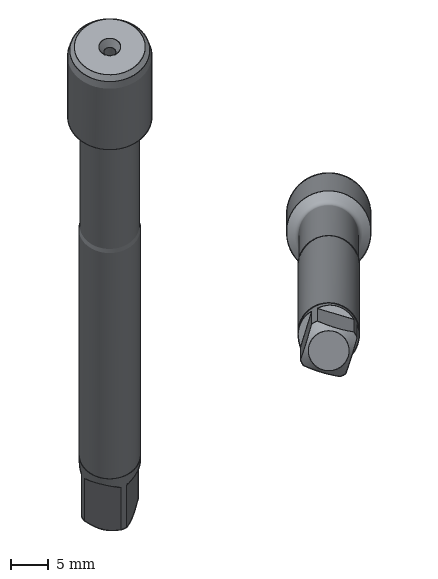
import cadquery as cq
import math

LENGTH = 100.0
HEAD_RADIUS = 11.2 / 2
HEAD_FACE_RADIUS = 4.7
HEAD_BREAK_RADIUS = 5.3
HEAD_CHAMFER_DEPTH = 0.7
HEAD_TAPER_BOTTOM = 98.1
HEAD_BOTTOM = 85.1
UNDERSIDE_ANGLE = 35

SHANK_RADIUS = 8.2 / 2
SLIM_RADIUS = 7.9 / 2
SLIM_TOP = 83.3
SLIM_BOTTOM = 61.7
SLIM_TAPER_LENGTH = 0.7

DRIVE_WIDTH = 6.3
DRIVE_RADIUS = 8.1 / 2
DRIVE_LENGTH = 10.4
DRIVE_COLLAR_TOP = 12.7
DRIVE_TIP_RADIUS = 2.7

HOLE_RADIUS = 1.6 / 2
COUNTERSINK_RADIUS = 2.9 / 2
COUNTERSINK_ANGLE = 60
HOLE_DEPTH = 2.9
DRILL_POINT_ANGLE = 120


def revolve_outline(outline):
    """Revolve a closed (radius, z) outline about the Z axis."""
    return outline.revolve(360, (0, 0, 0), (0, 1, 0))


def make_body():
    head_break_z = LENGTH - HEAD_CHAMFER_DEPTH
    slope = math.radians(UNDERSIDE_ANGLE)
    cone_corner_z = HEAD_BOTTOM - (HEAD_RADIUS - SLIM_RADIUS) * math.tan(slope)
    tangent = cone_corner_z - SLIM_TOP
    fillet_end = (
        SLIM_RADIUS + tangent * math.cos(slope),
        cone_corner_z + tangent * math.sin(slope),
    )
    tip_chamfer_top = DRIVE_RADIUS - DRIVE_TIP_RADIUS
    collar_step_z = DRIVE_COLLAR_TOP - (SHANK_RADIUS - DRIVE_RADIUS)
    outline = cq.Workplane("XZ").polyline([
        (0, 0),
        (DRIVE_TIP_RADIUS, 0),
        (DRIVE_RADIUS, tip_chamfer_top),
        (DRIVE_RADIUS, collar_step_z),
        (SHANK_RADIUS, DRIVE_COLLAR_TOP),
        (SHANK_RADIUS, SLIM_BOTTOM - SLIM_TAPER_LENGTH),
        (SLIM_RADIUS, SLIM_BOTTOM),
        (SLIM_RADIUS, SLIM_TOP),
    ])
    outline = outline.tangentArcPoint(fillet_end, relative=False)
    outline = outline.polyline([
        (HEAD_RADIUS, HEAD_BOTTOM),
        (HEAD_RADIUS, HEAD_TAPER_BOTTOM),
        (HEAD_BREAK_RADIUS, head_break_z),
        (HEAD_FACE_RADIUS, LENGTH),
        (0, LENGTH),
    ], includeCurrent=True).close()
    return revolve_outline(outline)


def make_flat_cutter():
    """Material removed beside one drive flat, with a 45 degree run-out at its top."""
    flat_x = DRIVE_WIDTH / 2
    outer_x = 2 * SHANK_RADIUS
    side = cq.Workplane("XZ").polyline([
        (flat_x, 0),
        (outer_x, 0),
        (outer_x, DRIVE_LENGTH + outer_x - flat_x),
        (flat_x, DRIVE_LENGTH),
    ]).close()
    return side.extrude(SHANK_RADIUS, both=True)


def make_centre_hole():
    sink_slope = math.tan(math.radians(COUNTERSINK_ANGLE / 2))
    sink_depth = (COUNTERSINK_RADIUS - HOLE_RADIUS) / sink_slope
    point_depth = HOLE_RADIUS / math.tan(math.radians(DRILL_POINT_ANGLE / 2))
    outline = cq.Workplane("XZ").polyline([
        (0, LENGTH),
        (COUNTERSINK_RADIUS, LENGTH),
        (HOLE_RADIUS, LENGTH - sink_depth),
        (HOLE_RADIUS, LENGTH - HOLE_DEPTH),
        (0, LENGTH - HOLE_DEPTH - point_depth),
    ]).close()
    return revolve_outline(outline)


result = make_body().cut(make_centre_hole())
for angle in (0, 90, 180, 270):
    result = result.cut(make_flat_cutter().rotate((0, 0, 0), (0, 0, 1), angle))